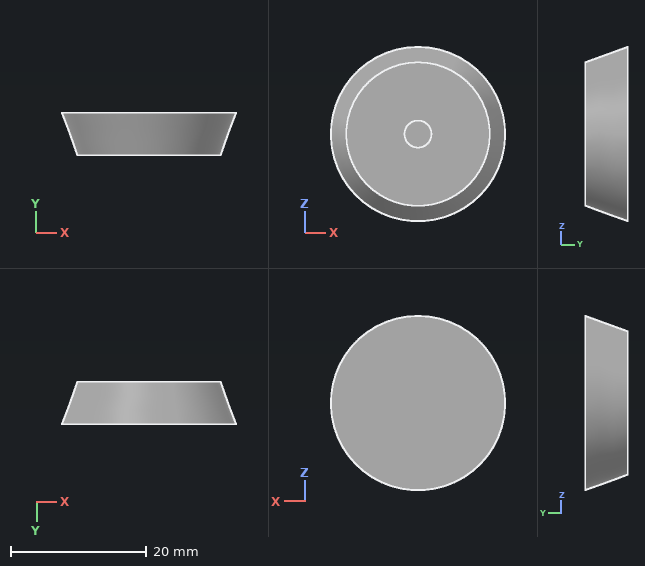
import cadquery as cq
import math

back_diameter = 25.8
thickness = 6.3
taper_angle = 20.0

recess_diameter = 4.0
recess_depth = 0.4

back_radius = back_diameter / 2
front_radius = back_radius - thickness * math.tan(math.radians(taper_angle))


def make_tapered_disc():
    """Half section in the YZ plane, revolved around Y, from y = 0 to the back face."""
    return (
        cq.Workplane("YZ")
        .moveTo(0, 0)
        .lineTo(0, front_radius)
        .lineTo(thickness, back_radius)
        .lineTo(thickness, 0)
        .close()
        .revolve(360, (0, 0), (1, 0))
    )


def make_recess():
    """Cylinder that reaches from the small face into the disc."""
    return (
        cq.Workplane("XZ")
        .circle(recess_diameter / 2)
        .extrude(-recess_depth)
    )


result = make_tapered_disc().cut(make_recess())